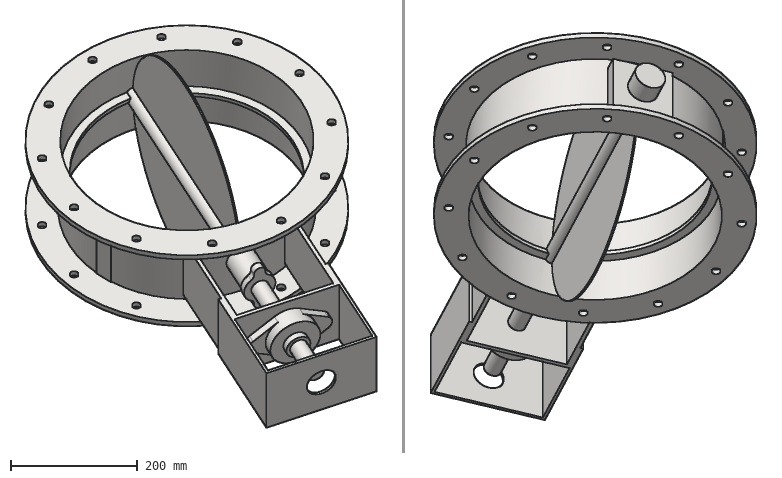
import cadquery as cq
import math

overall_length = 763.0

bore_diameter = 400.0
tube_wall = 4.0
tube_diameter = bore_diameter + 2 * tube_wall
body_height = 160.0
flange_diameter = 510.0
flange_thickness = 10.0
bolt_circle_diameter = 464.0
bolt_hole_diameter = 14.0
bolt_count = 12
bolt_pitch_angle = 360 / bolt_count
tube_height = body_height - 2 * flange_thickness

seat_inner_diameter = 370.0
seat_thickness = 8.0

disc_thickness = 3.0

shaft_diameter = 30.0
shaft_end_x = 482.0

label_width = 30.5
label_outer_distance = 204.5
label_angle = 25

block_size = 100.0
block_face_x = -223.5
stub_diameter = 50.0
stub_end_x = -259.0

gland_diameter = 50.0
gland_end_x = 261.0
gland_flange_thickness = 12.0
gland_flange_diameter = 55.0
gland_ear_radius = 10.0
gland_ear_offset = 34.0
gland_ear_fillet = 11.0

bracket_height = 123.0
bracket_width = 181.5
bracket_wall = 7.0
bracket_end_x = 375.0
cover_wall = 4.95
cover_width = bracket_width + 2 * cover_wall
cover_start_x = 323.5
cover_end_x = stub_end_x + overall_length
cover_hole_diameter = 50.0

bearing_plate_thickness = 14.0
bearing_hub_diameter = 87.0
bearing_hub_length = 32.0
bearing_nose_diameter = 42.0
bearing_nose_length = 11.5
bearing_ear_radius = 14.5
bearing_ear_offset = 58.0


def rod(diameter, start_x, end_x):
    """Solid cylinder on the X axis."""
    return cq.Workplane("YZ").workplane(offset=start_x).circle(diameter / 2).extrude(end_x - start_x)


def block(start_x, end_x, width, height):
    """Box along X, centred on the X axis."""
    return cq.Workplane("XY").box(end_x - start_x, width, height).translate(((start_x + end_x) / 2, 0, 0))


def ring(outer_diameter, inner_diameter, bottom_z, thickness):
    """Flat ring around the Z axis."""
    return (
        cq.Workplane("XY")
        .workplane(offset=bottom_z)
        .circle(outer_diameter / 2)
        .circle(inner_diameter / 2)
        .extrude(thickness)
    )


def flange(bottom_z):
    """Bolting flange; the holes straddle the X and Y axes."""
    return (
        ring(flange_diameter, bore_diameter, bottom_z, flange_thickness)
        .faces(">Z")
        .workplane(origin=(0, 0, bottom_z))
        .polarArray(bolt_circle_diameter / 2, bolt_pitch_angle / 2, 360, bolt_count)
        .hole(bolt_hole_diameter)
    )


def seat(y_side, bottom_z):
    """Half ring in the bore, on the +Y side (1) or the -Y side (-1)."""
    half_space = cq.Workplane("XY").box(bore_diameter, bore_diameter, body_height)
    half_space = half_space.translate((0, y_side * bore_diameter / 2, 0))
    return ring(bore_diameter, seat_inner_diameter, bottom_z, seat_thickness).intersect(half_space)


def label_plate(turn_angle):
    """Thin flat plate on the -Y side of the tube, turned around Z."""
    inner_distance = bore_diameter / 2 + tube_wall / 2
    thickness = label_outer_distance - inner_distance
    return (
        cq.Workplane("XY")
        .box(label_width, thickness, tube_height)
        .translate((0, -(inner_distance + thickness / 2), 0))
        .rotate((0, 0, 0), (0, 0, 1), turn_angle)
    )


def outside_tube(shape):
    """Trim away whatever lies within the tube's outer surface, keeping half the wall as overlap."""
    core_diameter = bore_diameter + tube_wall
    core = cq.Workplane("XY").circle(core_diameter / 2).extrude(body_height / 2, both=True)
    return shape.cut(core)


def bearing_plate():
    """Two small round ears on the Y axis, with straight sides tangent to the hub circle."""
    hub_radius = bearing_hub_diameter / 2
    lean = math.asin((hub_radius - bearing_ear_radius) / bearing_ear_offset)
    hub_y = hub_radius * math.sin(lean)
    hub_z = hub_radius * math.cos(lean)
    ear_y = bearing_ear_offset + bearing_ear_radius * math.sin(lean)
    ear_z = bearing_ear_radius * math.cos(lean)
    ear_tip_y = bearing_ear_offset + bearing_ear_radius
    return (
        cq.Workplane("YZ")
        .workplane(offset=bracket_end_x)
        .moveTo(-hub_y, hub_z)
        .lineTo(hub_y, hub_z)
        .lineTo(ear_y, ear_z)
        .threePointArc((ear_tip_y, 0), (ear_y, -ear_z))
        .lineTo(hub_y, -hub_z)
        .lineTo(-hub_y, -hub_z)
        .lineTo(-ear_y, -ear_z)
        .threePointArc((-ear_tip_y, 0), (-ear_y, ear_z))
        .close()
        .extrude(bearing_plate_thickness)
    )


def gland_flange():
    """Round gland flange with two round-ended ears on the Z axis, blended in by fillets."""
    ears = (
        cq.Workplane("YZ")
        .workplane(offset=gland_end_x)
        .slot2D(2 * (gland_ear_offset + gland_ear_radius), 2 * gland_ear_radius, 90)
        .extrude(gland_flange_thickness)
    )
    disc_and_ears = rod(gland_flange_diameter, gland_end_x, gland_end_x + gland_flange_thickness).union(ears)
    corner_z = math.sqrt((gland_flange_diameter / 2) ** 2 - gland_ear_radius ** 2)
    middle_x = gland_end_x + gland_flange_thickness / 2
    for y in (-gland_ear_radius, gland_ear_radius):
        for z in (-corner_z, corner_z):
            corner = cq.selectors.NearestToPointSelector((middle_x, y, z))
            disc_and_ears = disc_and_ears.edges(corner).fillet(gland_ear_fillet)
    return disc_and_ears


body = ring(tube_diameter, bore_diameter, -body_height / 2, body_height)
for bottom_z in (-body_height / 2, body_height / 2 - flange_thickness):
    body = body.union(flange(bottom_z))
body = body.union(seat(-1, disc_thickness / 2))
body = body.union(seat(1, -disc_thickness / 2 - seat_thickness))
for turn_angle in (-label_angle, label_angle):
    body = body.union(label_plate(turn_angle))

blind_bearing = outside_tube(block(block_face_x, 0, block_size, block_size))
blind_bearing = blind_bearing.union(rod(stub_diameter, stub_end_x, block_face_x))

gland = outside_tube(rod(gland_diameter, 0, gland_end_x))
gland = gland.union(gland_flange())

bracket = block(0, bracket_end_x, bracket_width, bracket_height)
bracket = bracket.cut(
    block(0, bracket_end_x - bracket_wall, bracket_width - 2 * bracket_wall, bracket_height)
)
bracket = outside_tube(bracket)
cover = block(cover_start_x, cover_end_x, cover_width, bracket_height)
cover = cover.cut(block(cover_start_x, cover_end_x - cover_wall, bracket_width, bracket_height))
cover = cover.cut(rod(cover_hole_diameter, shaft_end_x, cover_end_x))

nose_start_x = bracket_end_x + bearing_hub_length
bearing = rod(bearing_hub_diameter, bracket_end_x, nose_start_x)
bearing = bearing.union(bearing_plate())
bearing = bearing.union(rod(bearing_nose_diameter, nose_start_x, nose_start_x + bearing_nose_length))

disc = cq.Workplane("XZ").circle(bore_diameter / 2).extrude(disc_thickness / 2, both=True)
shaft = rod(shaft_diameter, -bore_diameter / 2 - tube_wall / 2, shaft_end_x)

result = body
for component in (blind_bearing, gland, bracket, cover, bearing, disc, shaft):
    result = result.union(component)